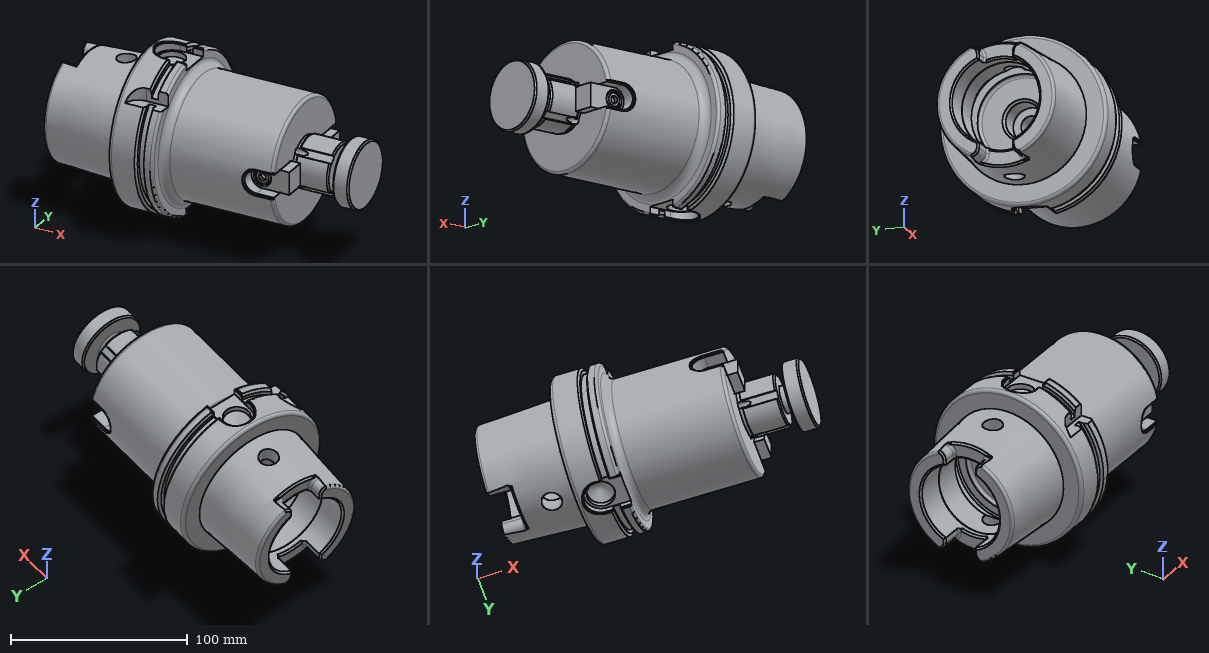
import cadquery as cq
import math

TOTAL_LENGTH = 189.0

TAPER_SLOPE = 0.05
TAPER_BIG_RADIUS = 37.8
RIM_FILLET = 1.7

FLANGE_START = 49.9
FLANGE_END = 78.6
FLANGE_RADIUS = 49.99
FLANGE_FRONT_FILLET = 2.0
FLANGE_REAR_FILLET = 1.7
GROOVE_START = 67.9
GROOVE_END = 72.0
GROOVE_RADIUS = 46.0
GROOVE_MOUTH = 1.0
GROOVE_LIP_DEPTH = 1.9

BODY_RADIUS = 38.84
BODY_END = 149.9
BODY_FILLET = 1.9
NECK_FILLET = 5.0

PILOT_RADIUS = 16.0
PILOT_START = 152.0
PILOT_END = 173.3
PILOT_CHAMFER = 1.0
UNDERCUT_RADIUS = 15.5

BORE_RADIUS = 26.0
BORE_CHAMFER = 1.1
RELIEF_START = 18.9
RELIEF_RADIUS = 26.3
CLAMP_GROOVE_START = 36.3
CLAMP_GROOVE_RADIUS = 31.4
CLAMP_GROOVE_END = 47.2
CLAMP_SHOULDER_ANGLE = 30.0
BORE_FLOOR = FLANGE_START
BORE_FLOOR_FILLET = 1.7
TUBE_HOLE_RADIUS = 10.8
TUBE_HOLE_CHAMFER = 1.5
TUBE_HOLE_DEPTH = 15.1
COOLANT_RADIUS = 6.0
CROSS_HOLE_X = 34.5
CROSS_HOLE_RADIUS = 5.9

SLOT_HALF_WIDTH = 10.0
SLOT_FLARE_RADIUS = 5.0
SLOT_CREST = 32.3
SLOT_CORNER_FILLET = 1.5
SLOT_RIM_BEVEL = 1.1
SLOT_EDGE_BEVEL = 1.1
TOP_SLOT_DEPTH = 9.6
BOTTOM_SLOT_DEPTH = 14.5
SLOT_ROOT = BORE_RADIUS / 2

NOTCH_X = 63.9
NOTCH_HALF_WIDTH = 9.8
NOTCH_FLOOR = 44.0
NOTCH_BEVEL = 1.0
NOTCH_ANGLES = (0.0, 180.0)
DIMPLE_RADIUS = 8.1
DIMPLE_DEPTH = 3.4
DRILL_POINT_ANGLE = 118.0

CORNER_NOTCH_FLOOR = 30.8
CORNER_NOTCH_WALL = 31.4
CORNER_NOTCH_X = 64.3
CORNER_NOTCH_RADIUS = 9.3

KEY_X = 138.5
KEY_END = 156.0
KEY_HALF_WIDTH = 7.2
KEY_ANGLES = (90.0, 270.0)
KEY_INNER = 16.8
KEY_OUTER = 29.9
SEAT_BEVEL = 1.1
SCREW_HEAD_RADIUS = 5.0
SCREW_HEAD_CHAMFER = 1.0
COUNTERBORE_CHAMFER = 0.8
SCREW_HEAD_HEIGHT = 5.7
SCREW_SHANK_RADIUS = 2.6
SCREW_TIP = 10.4
SOCKET_RADIUS = 2.3
SOCKET_DEPTH = 2.3

COOLANT_GROOVE_HALF_WIDTH = 2.5
COOLANT_GROOVE_FLOOR = 14.5
COOLANT_GROOVE_START = 153.0
FEED_HOLE_RADIUS = 1.9
FEED_HOLE_EXIT = 157.2
FEED_HOLE_ANGLE = 15.0
FEED_HOLE_LENGTH = 26.5
GROOVE_ANGLES = (45.0, 135.0, 225.0, 315.0)

CLAMP_HEAD_START = 178.6
CLAMP_HEAD_RADIUS = 20.88
CLAMP_HEAD_CHAMFER = 1.0
CLAMP_SHANK_RADIUS = 8.1
CLAMP_FILLET = 2.3
CLAMP_TIP = 122.8

TINY = 0.2
MARGIN = 9.5


def turned(profile):
    """Solid of revolution about X of an (x, radius) outline."""
    return profile.close().revolve(360, (0, 0, 0), (1, 0, 0))


def arc_inset(radius):
    """Distance from a square corner to the middle of its quarter-round, along either side."""
    return radius * (1 - math.sqrt(0.5))


def x_cylinder(radius, start, end):
    return cq.Workplane("YZ").workplane(offset=start).circle(radius).extrude(end - start)


def about_axis(shape, angle):
    """Copy turned by an angle in degrees about the tool axis."""
    return shape.rotate((0, 0, 0), (1, 0, 0), angle)


def drill_point(radius):
    return radius / math.tan(math.radians(DRILL_POINT_ANGLE / 2))


def taper_radius(x):
    return TAPER_BIG_RADIUS - TAPER_SLOPE * (FLANGE_START - x)


def turned_blank():
    neck_mid = arc_inset(NECK_FILLET)
    front_mid = arc_inset(FLANGE_FRONT_FILLET)
    rear_mid = arc_inset(FLANGE_REAR_FILLET)
    rim_mid = arc_inset(RIM_FILLET)
    body_mid = arc_inset(BODY_FILLET)
    lip_radius = FLANGE_RADIUS - GROOVE_LIP_DEPTH
    rim_radius = taper_radius(RIM_FILLET)
    profile = (
        cq.Workplane("XZ")
        .moveTo(0, 0)
        .lineTo(0, rim_radius - RIM_FILLET)
        .threePointArc((rim_mid, rim_radius - rim_mid), (RIM_FILLET, rim_radius))
        .lineTo(FLANGE_START, TAPER_BIG_RADIUS)
        .lineTo(FLANGE_START, FLANGE_RADIUS - FLANGE_FRONT_FILLET)
        .threePointArc(
            (FLANGE_START + front_mid, FLANGE_RADIUS - front_mid),
            (FLANGE_START + FLANGE_FRONT_FILLET, FLANGE_RADIUS),
        )
        .lineTo(GROOVE_START - GROOVE_MOUTH, FLANGE_RADIUS)
        .lineTo(GROOVE_START, lip_radius)
        .lineTo(GROOVE_START, GROOVE_RADIUS)
        .lineTo(GROOVE_END, GROOVE_RADIUS)
        .lineTo(GROOVE_END, lip_radius)
        .lineTo(GROOVE_END + GROOVE_MOUTH, FLANGE_RADIUS)
        .lineTo(FLANGE_END - FLANGE_REAR_FILLET, FLANGE_RADIUS)
        .threePointArc(
            (FLANGE_END - rear_mid, FLANGE_RADIUS - rear_mid),
            (FLANGE_END, FLANGE_RADIUS - FLANGE_REAR_FILLET),
        )
        .lineTo(FLANGE_END, BODY_RADIUS + NECK_FILLET)
        .threePointArc(
            (FLANGE_END + neck_mid, BODY_RADIUS + neck_mid),
            (FLANGE_END + NECK_FILLET, BODY_RADIUS),
        )
        .lineTo(BODY_END - BODY_FILLET, BODY_RADIUS)
        .threePointArc(
            (BODY_END - body_mid, BODY_RADIUS - body_mid), (BODY_END, BODY_RADIUS - BODY_FILLET)
        )
        .lineTo(BODY_END, UNDERCUT_RADIUS)
        .lineTo(PILOT_START, UNDERCUT_RADIUS)
        .lineTo(PILOT_START, PILOT_RADIUS)
        .lineTo(PILOT_END - PILOT_CHAMFER, PILOT_RADIUS)
        .lineTo(PILOT_END, PILOT_RADIUS - PILOT_CHAMFER)
        .lineTo(PILOT_END, 0)
    )
    return turned(profile)


def shank_bore():
    """Everything hollow along the axis: shank bore, tube hole, coolant passage and screw bore."""
    floor_mid = arc_inset(BORE_FLOOR_FILLET)
    shoulder_height = CLAMP_GROOVE_RADIUS - RELIEF_RADIUS
    shoulder_length = shoulder_height / math.tan(math.radians(CLAMP_SHOULDER_ANGLE))
    tube_end = BORE_FLOOR + TUBE_HOLE_DEPTH
    profile = (
        cq.Workplane("XZ")
        .moveTo(0, 0)
        .lineTo(0, BORE_RADIUS + BORE_CHAMFER)
        .lineTo(BORE_CHAMFER, BORE_RADIUS)
        .lineTo(RELIEF_START, BORE_RADIUS)
        .lineTo(RELIEF_START, RELIEF_RADIUS)
        .lineTo(CLAMP_GROOVE_START, RELIEF_RADIUS)
        .lineTo(CLAMP_GROOVE_START + shoulder_length, CLAMP_GROOVE_RADIUS)
        .lineTo(CLAMP_GROOVE_END, CLAMP_GROOVE_RADIUS)
        .lineTo(CLAMP_GROOVE_END, RELIEF_RADIUS)
        .lineTo(BORE_FLOOR - BORE_FLOOR_FILLET, RELIEF_RADIUS)
        .threePointArc(
            (BORE_FLOOR - floor_mid, RELIEF_RADIUS - floor_mid),
            (BORE_FLOOR, RELIEF_RADIUS - BORE_FLOOR_FILLET),
        )
        .lineTo(BORE_FLOOR, TUBE_HOLE_RADIUS + TUBE_HOLE_CHAMFER)
        .lineTo(BORE_FLOOR + TUBE_HOLE_CHAMFER, TUBE_HOLE_RADIUS)
        .lineTo(tube_end, TUBE_HOLE_RADIUS)
        .lineTo(tube_end, COOLANT_RADIUS)
        .lineTo(CLAMP_TIP, COOLANT_RADIUS)
        .lineTo(CLAMP_TIP, CLAMP_SHANK_RADIUS)
        .lineTo(PILOT_END, CLAMP_SHANK_RADIUS)
        .lineTo(PILOT_END, 0)
    )
    return turned(profile)


def cross_hole():
    half = FLANGE_RADIUS
    return (
        cq.Workplane("XY").workplane(offset=-half)
        .center(CROSS_HOLE_X, 0).circle(CROSS_HOLE_RADIUS).extrude(2 * half)
    )


def slot_outline(offset):
    """Cross-section of an end slot, moved outward into the material by an offset.

    The flanks stand upright, then curve away from each other in convex arcs up to a level crest.
    """
    flare_radius = SLOT_FLARE_RADIUS - offset
    flank = SLOT_HALF_WIDTH + offset
    crest = SLOT_CREST - offset
    flare_y = flank + flare_radius
    flare_z = crest - flare_radius
    inset = arc_inset(flare_radius)
    wide = flare_y + SLOT_FLARE_RADIUS
    high = TAPER_BIG_RADIUS + MARGIN
    return (
        cq.Workplane("YZ")
        .moveTo(-flank, SLOT_ROOT)
        .lineTo(flank, SLOT_ROOT)
        .lineTo(flank, flare_z)
        .threePointArc((flank + inset, crest - inset), (flare_y, crest))
        .lineTo(wide, crest)
        .lineTo(wide, high)
        .lineTo(-wide, high)
        .lineTo(-wide, crest)
        .lineTo(-flare_y, crest)
        .threePointArc((-flank - inset, crest - inset), (-flank, flare_z))
        .close()
    )


def end_slot(depth):
    """Cutter for one slot across the +Z side of the open end."""
    slot = slot_outline(0).extrude(depth)
    reach = TAPER_BIG_RADIUS
    flank_ends = cq.selectors.BoxSelector(
        (depth - TINY, -reach, SLOT_ROOT + TINY), (depth + TINY, reach, SLOT_CREST + TINY)
    )
    slot = slot.edges(flank_ends).fillet(SLOT_CORNER_FILLET)
    rim_bevel = slot_outline(SLOT_RIM_BEVEL).extrude(SLOT_RIM_BEVEL, taper=45)
    return slot.union(rim_bevel).union(slot_bottom_bevels(depth))


def slot_bottom_bevels(depth):
    """Bevels of a slot's bottom where it meets the taper outside and the bore inside."""
    surface = taper_radius(depth)
    far = depth + SLOT_EDGE_BEVEL
    outer = turned(
        cq.Workplane("XZ")
        .moveTo(depth, surface - SLOT_EDGE_BEVEL)
        .lineTo(far, taper_radius(far))
        .lineTo(depth, surface + SLOT_EDGE_BEVEL)
    )
    inner = turned(
        cq.Workplane("XZ")
        .moveTo(depth, BORE_RADIUS + BORE_CHAMFER)
        .lineTo(depth + BORE_CHAMFER, BORE_RADIUS)
        .lineTo(depth, BORE_RADIUS)
    )
    return outer.intersect(slot_window(SLOT_HALF_WIDTH + SLOT_FLARE_RADIUS)).union(
        inner.intersect(slot_window(SLOT_HALF_WIDTH - SLOT_CORNER_FILLET))
    )


def slot_window(half_width):
    """Block over the +Z side that limits a ring to the width of a slot."""
    height = TAPER_BIG_RADIUS + MARGIN
    return cq.Workplane("XY").box(FLANGE_START, 2 * half_width, height, (False, True, False))


def round_ended(center_x, half_width, end_x, floor, top):
    """Block open toward +X with a full round at its -X end, standing on Z = floor."""
    return (
        cq.Workplane("XY").workplane(offset=floor)
        .moveTo(end_x, -half_width)
        .lineTo(end_x, half_width)
        .lineTo(center_x, half_width)
        .threePointArc((center_x - half_width, 0), (center_x, -half_width))
        .close()
        .extrude(top - floor)
    )


def drive_notch():
    """Cutter for the +Z drive notch of the flange and the drilled dimple in its floor."""
    notch = round_ended(NOTCH_X, NOTCH_HALF_WIDTH, FLANGE_END, NOTCH_FLOOR, FLANGE_RADIUS + MARGIN)
    dimple = (
        cq.Workplane("XZ")
        .moveTo(0, NOTCH_FLOOR)
        .lineTo(DIMPLE_RADIUS, NOTCH_FLOOR)
        .lineTo(DIMPLE_RADIUS, NOTCH_FLOOR - DIMPLE_DEPTH)
        .lineTo(0, NOTCH_FLOOR - DIMPLE_DEPTH - drill_point(DIMPLE_RADIUS))
        .close()
        .revolve(360, (0, 0, 0), (0, 1, 0))
        .translate((NOTCH_X, 0, 0))
    )
    return notch.union(dimple)


def bevel_band(center_x, half_width, end_x, bevel, radius):
    """Cutter that bevels the rim of a round-ended recess where it meets a cylinder about X.

    It is the wider recess less a core cylinder, so its depth follows the curved rim.
    """
    band = round_ended(center_x, half_width + bevel, end_x, 0, radius + MARGIN)
    return band.cut(x_cylinder(radius - bevel, center_x - 2 * half_width, end_x))


def corner_notch():
    """Cutter for the orientation notch: flat floor, flat wall and a milled round end."""
    axis_y = -(CORNER_NOTCH_WALL + CORNER_NOTCH_RADIUS)
    return (
        round_ended(
            CORNER_NOTCH_X, CORNER_NOTCH_RADIUS, FLANGE_END, CORNER_NOTCH_FLOOR, FLANGE_RADIUS
        )
        .translate((0, axis_y, 0))
    )


def coolant_groove():
    """Cutter for one groove on the +Z side of the pilot and the oblique hole that feeds it."""
    groove = cq.Workplane("XY").box(
        PILOT_END - COOLANT_GROOVE_START,
        2 * COOLANT_GROOVE_HALF_WIDTH,
        PILOT_RADIUS - COOLANT_GROOVE_FLOOR + MARGIN,
        centered=(False, True, False),
    ).translate((COOLANT_GROOVE_START, 0, COOLANT_GROOVE_FLOOR))
    tilt = math.radians(FEED_HOLE_ANGLE)
    exit_height = COOLANT_GROOVE_FLOOR + FEED_HOLE_RADIUS / math.cos(tilt)
    feed = cq.Workplane(
        cq.Solid.makeCylinder(
            FEED_HOLE_RADIUS,
            FEED_HOLE_LENGTH,
            cq.Vector(FEED_HOLE_EXIT, 0, exit_height),
            cq.Vector(-math.cos(tilt), 0, -math.sin(tilt)),
        )
    )
    return groove.union(feed)


def key_seat():
    """Cutter for the key seat on the +Z side, with the tapped hole for the key screw."""
    seat = round_ended(KEY_X, KEY_HALF_WIDTH, BODY_END, KEY_INNER, BODY_RADIUS + MARGIN)
    hole = (
        cq.Workplane("XY").workplane(offset=SCREW_TIP)
        .center(KEY_X, 0).circle(SCREW_SHANK_RADIUS).extrude(KEY_INNER - SCREW_TIP)
    )
    return seat.union(hole)


def make_housing():
    housing = turned_blank().cut(shank_bore()).cut(cross_hole())
    housing = housing.cut(end_slot(TOP_SLOT_DEPTH))
    housing = housing.cut(about_axis(end_slot(BOTTOM_SLOT_DEPTH), 180))
    notch_bevel = bevel_band(NOTCH_X, NOTCH_HALF_WIDTH, FLANGE_END, NOTCH_BEVEL, FLANGE_RADIUS)
    for angle in NOTCH_ANGLES:
        housing = housing.cut(about_axis(drive_notch(), angle))
        housing = housing.cut(about_axis(notch_bevel, angle))
    housing = housing.cut(corner_notch())
    seat_bevel = bevel_band(KEY_X, KEY_HALF_WIDTH, BODY_END, SEAT_BEVEL, BODY_RADIUS)
    for angle in KEY_ANGLES:
        housing = housing.cut(about_axis(key_seat(), angle))
        housing = housing.cut(about_axis(seat_bevel, angle))
    for angle in GROOVE_ANGLES:
        housing = housing.cut(about_axis(coolant_groove(), angle))
    return housing


def screw_turned(profile):
    """Solid of revolution of a (radius, z) outline about the upright axis of the key screw."""
    return profile.close().revolve(360, (0, 0, 0), (0, 1, 0)).translate((KEY_X, 0, 0))


def make_key():
    """Drive key on the +Z side with a counterbored screw hole."""
    head_seat = KEY_OUTER - SCREW_HEAD_HEIGHT
    hole = screw_turned(
        cq.Workplane("XZ")
        .moveTo(0, KEY_INNER)
        .lineTo(SCREW_SHANK_RADIUS, KEY_INNER)
        .lineTo(SCREW_SHANK_RADIUS, head_seat)
        .lineTo(SCREW_HEAD_RADIUS, head_seat)
        .lineTo(SCREW_HEAD_RADIUS, KEY_OUTER - COUNTERBORE_CHAMFER)
        .lineTo(SCREW_HEAD_RADIUS + COUNTERBORE_CHAMFER, KEY_OUTER)
        .lineTo(0, KEY_OUTER)
    )
    return round_ended(KEY_X, KEY_HALF_WIDTH, KEY_END, KEY_INNER, KEY_OUTER).cut(hole)


def make_key_screw():
    head_seat = KEY_OUTER - SCREW_HEAD_HEIGHT
    socket_floor = KEY_OUTER - SOCKET_DEPTH
    return screw_turned(
        cq.Workplane("XZ")
        .moveTo(0, SCREW_TIP)
        .lineTo(SCREW_SHANK_RADIUS, SCREW_TIP)
        .lineTo(SCREW_SHANK_RADIUS, head_seat)
        .lineTo(SCREW_HEAD_RADIUS, head_seat)
        .lineTo(SCREW_HEAD_RADIUS, KEY_OUTER - SCREW_HEAD_CHAMFER)
        .lineTo(SCREW_HEAD_RADIUS - SCREW_HEAD_CHAMFER, KEY_OUTER)
        .lineTo(SOCKET_RADIUS, KEY_OUTER)
        .lineTo(SOCKET_RADIUS, socket_floor)
        .lineTo(0, socket_floor - drill_point(SOCKET_RADIUS))
    )


def make_clamping_screw():
    fillet_mid = arc_inset(CLAMP_FILLET)
    return turned(
        cq.Workplane("XZ")
        .moveTo(CLAMP_TIP, 0)
        .lineTo(CLAMP_TIP, CLAMP_SHANK_RADIUS)
        .lineTo(CLAMP_HEAD_START - CLAMP_FILLET, CLAMP_SHANK_RADIUS)
        .threePointArc(
            (CLAMP_HEAD_START - fillet_mid, CLAMP_SHANK_RADIUS + fillet_mid),
            (CLAMP_HEAD_START, CLAMP_SHANK_RADIUS + CLAMP_FILLET),
        )
        .lineTo(CLAMP_HEAD_START, CLAMP_HEAD_RADIUS - CLAMP_HEAD_CHAMFER)
        .lineTo(CLAMP_HEAD_START + CLAMP_HEAD_CHAMFER, CLAMP_HEAD_RADIUS)
        .lineTo(TOTAL_LENGTH - CLAMP_HEAD_CHAMFER, CLAMP_HEAD_RADIUS)
        .lineTo(TOTAL_LENGTH, CLAMP_HEAD_RADIUS - CLAMP_HEAD_CHAMFER)
        .lineTo(TOTAL_LENGTH, 0)
    )


housing = make_housing()
clamping_screw = make_clamping_screw()
keys = [about_axis(make_key(), angle) for angle in KEY_ANGLES]
key_screws = [about_axis(make_key_screw(), angle) for angle in KEY_ANGLES]

result = cq.Compound.makeCompound(
    [housing.val(), clamping_screw.val()] + [body.val() for body in keys + key_screws]
)